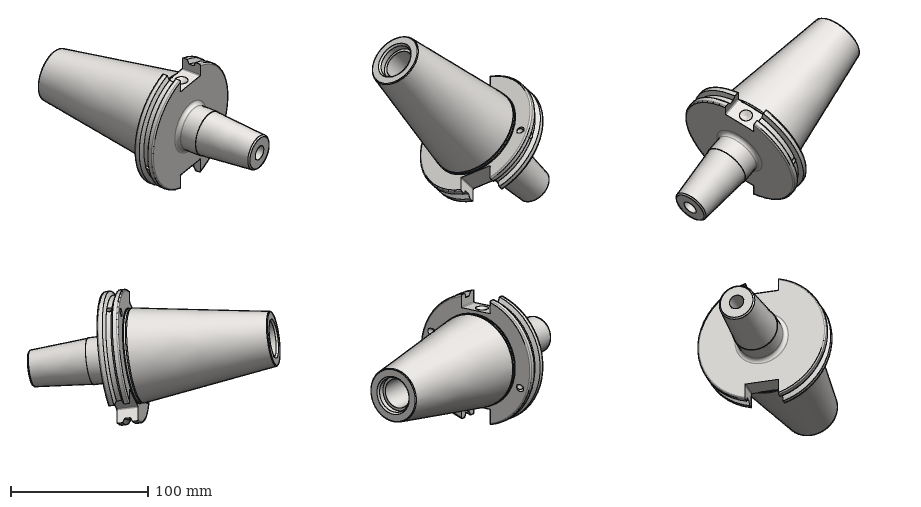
import cadquery as cq
import math

total_length = 181.6
taper_small_radius = 20.2
taper_slope = 7 / 48
taper_length = 101.7
taper_edge_chamfer = 0.64
neck_radius = 69.2 / 2
neck_lead = 1.0
neck_root_chamfer = 0.5

flange_start = 104.8
flange_end = 120.8
flange_radius = 49.0
flange_edge_radius = 1.0
groove_center = (flange_start + flange_end) / 2
groove_floor_radius = 45.8
groove_floor_width = 3.8
groove_mouth_width = 7.5

nose_radius = 17.3
nose_root_radius = 3.0
nose_cylinder_end = 137.0
nose_cone_radius = 34.0 / 2
nose_cone_angle = 4.5
nose_edge_chamfer = 1.0

through_radius = 10.9 / 2
bore_radius = 22.0 / 2
bore_depth = 54.5
counterbore_radius = 26.2 / 2
counterbore_depth = 5.8
mouth_radius = 14.3
mouth_depth = 1.5
drill_half_angle = 59

slot_width = 25.6
upper_slot_floor = 37.6
lower_slot_floor = 35.5
slot_corner_radius = 0.5
slot_dimple_diameter = 9.5

coolant_angle = 20
coolant_tilt = 36
face_hole_radius = 42.0
face_hole_diameter = 5.0
face_hole_depth = 2.7
groove_hole_diameter = 4.2
groove_hole_depth = 3.6


def cone_length(radius_change):
    return radius_change / math.tan(math.radians(drill_half_angle))


def blind_hole(start, direction, diameter, depth):
    """Drilled hole with a conical bottom, also open a little above its start."""
    radius = diameter / 2
    direction = direction.normalized()
    shaft = cq.Solid.makeCylinder(radius, depth + radius, start - direction * radius, direction)
    tip = cq.Solid.makeCone(radius, 0, cone_length(radius), start + direction * depth, direction)
    return shaft.fuse(tip)


def revolve_about_x(outline):
    return outline.close().revolve(360, (0, 0, 0), (1, 0, 0))


def make_body():
    taper_large_radius = taper_small_radius + taper_slope * taper_length
    taper_edge_radius = taper_small_radius + taper_slope * taper_edge_chamfer
    nose_cone_end = total_length - nose_edge_chamfer
    cone_drop = (nose_cone_end - nose_cylinder_end) * math.tan(math.radians(nose_cone_angle))
    nose_end_radius = nose_cone_radius - cone_drop
    rim_start = flange_start + flange_edge_radius
    rim_end = flange_end - flange_edge_radius
    edge_inner_radius = flange_radius - flange_edge_radius
    arc_inset = flange_edge_radius * (1 - math.sqrt(0.5))
    root_inset = nose_root_radius * (1 - math.sqrt(0.5))
    outline = (
        cq.Workplane("XY")
        .moveTo(0, 0)
        .lineTo(0, taper_edge_radius - taper_edge_chamfer)
        .lineTo(taper_edge_chamfer, taper_edge_radius)
        .lineTo(taper_length, taper_large_radius)
        .lineTo(taper_length + neck_lead, neck_radius)
        .lineTo(flange_start - neck_root_chamfer, neck_radius)
        .lineTo(flange_start, neck_radius + neck_root_chamfer)
        .lineTo(flange_start, edge_inner_radius)
        .threePointArc((flange_start + arc_inset, flange_radius - arc_inset), (rim_start, flange_radius))
        .lineTo(groove_center - groove_mouth_width / 2, flange_radius)
        .lineTo(groove_center - groove_floor_width / 2, groove_floor_radius)
        .lineTo(groove_center + groove_floor_width / 2, groove_floor_radius)
        .lineTo(groove_center + groove_mouth_width / 2, flange_radius)
        .lineTo(rim_end, flange_radius)
        .threePointArc((flange_end - arc_inset, flange_radius - arc_inset), (flange_end, edge_inner_radius))
        .lineTo(flange_end, nose_radius + nose_root_radius)
        .threePointArc(
            (flange_end + root_inset, nose_radius + root_inset),
            (flange_end + nose_root_radius, nose_radius),
        )
        .lineTo(nose_cylinder_end, nose_radius)
        .lineTo(nose_cylinder_end, nose_cone_radius)
        .lineTo(nose_cone_end, nose_end_radius)
        .lineTo(total_length, nose_end_radius - nose_edge_chamfer)
        .lineTo(total_length, 0)
    )
    return revolve_about_x(outline)


def make_bore():
    outline = (
        cq.Workplane("XY")
        .moveTo(0, 0)
        .lineTo(0, mouth_radius)
        .lineTo(mouth_depth, counterbore_radius)
        .lineTo(counterbore_depth, counterbore_radius)
        .lineTo(counterbore_depth, bore_radius)
        .lineTo(bore_depth, bore_radius)
        .lineTo(bore_depth + cone_length(bore_radius - through_radius), through_radius)
        .lineTo(total_length, through_radius)
        .lineTo(total_length, 0)
    )
    return revolve_about_x(outline)


def make_drive_slot(side, floor_height):
    """Slot across the flange rim at +Z (side = 1) or -Z (side = -1)."""
    flange_width = flange_end - flange_start
    slot_height = flange_radius - floor_height
    floor_edges = "|X and <Z" if side > 0 else "|X and >Z"
    return (
        cq.Workplane("XY")
        .box(flange_width, slot_width, slot_height)
        .edges(floor_edges)
        .fillet(slot_corner_radius)
        .translate((groove_center, 0, side * (floor_height + slot_height / 2)))
    )


def make_slot_dimple():
    radius = slot_dimple_diameter / 2
    top = cq.Vector(groove_center, 0, upper_slot_floor)
    cone = cq.Solid.makeCone(radius, 0, cone_length(radius), top, cq.Vector(0, 0, -1))
    return cq.Workplane(obj=cone)


def make_coolant_holes(angle):
    """Sloping face hole and radial groove hole, at an angle about X from +Y."""
    outward = cq.Vector(0, math.cos(math.radians(angle)), math.sin(math.radians(angle)))
    tilt = math.radians(coolant_tilt)
    slope = cq.Vector(math.cos(tilt), 0, 0) - outward * math.sin(tilt)
    face_start = cq.Vector(flange_start, 0, 0) + outward * face_hole_radius
    groove_start = cq.Vector(groove_center, 0, 0) + outward * groove_floor_radius
    return [
        blind_hole(face_start, slope, face_hole_diameter, face_hole_depth),
        blind_hole(groove_start, outward * -1, groove_hole_diameter, groove_hole_depth),
    ]


result = make_body().cut(make_bore())

for side, floor_height in ((1, upper_slot_floor), (-1, lower_slot_floor)):
    result = result.cut(make_drive_slot(side, floor_height))

result = result.cut(make_slot_dimple())

for angle in (coolant_angle, coolant_angle + 180):
    for hole in make_coolant_holes(angle):
        result = result.cut(cq.Workplane(obj=hole))